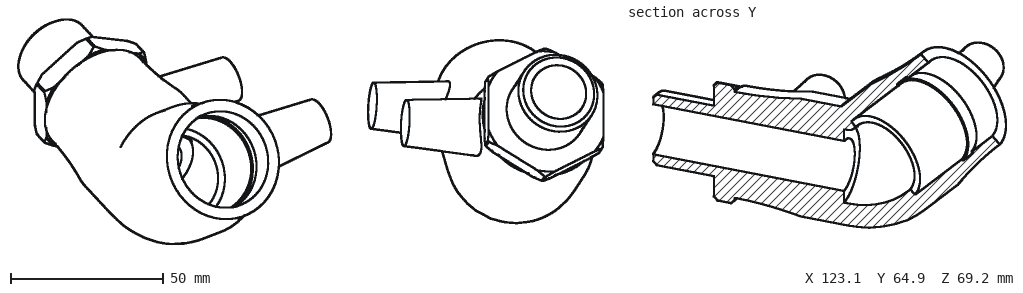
import math
import cadquery as cq

BEND_ANGLE = 45.0

SPIGOT_DIAMETER = 26.5
SPIGOT_LENGTH = 21.5
SPIGOT_CHAMFER = 1.4
ADAPTER_BORE = 18.5
NUT_WIDTH = 7.5
NUT_ACROSS_FLATS = 38.4
NUT_TURNED_DIAMETER = 44.0
NUT_CHAMFER = 1.4

BODY_RADIUS = 44.0 / 2
MOUTH_RADIUS = 19.8
TAPER_LENGTH = 23.4
LEG_LENGTH = 46.9
PIVOT_HEIGHT = 16.0
BEND_BORE = 27.2

SOCKET_DIAMETER = 32.0
SOCKET_DEPTH = 38.7
GROOVE_DIAMETER = 33.2
GROOVE_START = 10.5
GROOVE_WIDTH = 4.8

BOSS_SETBACK = 13.9
BOSS_TIP_RADIUS = 7.6
BOSS_TIP_Y = 42.9
BOSS_SLOPE = 0.075
BOSS_ROOT_RADIUS = BOSS_TIP_RADIUS + BOSS_SLOPE * BOSS_TIP_Y

NUT_END = SPIGOT_LENGTH + NUT_WIDTH
CORNER_X = NUT_END + LEG_LENGTH
BEND_TANGENT = PIVOT_HEIGHT * math.tan(math.radians(BEND_ANGLE / 2))
STRAIGHT_LENGTH = LEG_LENGTH - BEND_TANGENT
BEND_START_X = CORNER_X - BEND_TANGENT


def rod(diameter, start, length):
    """Cylinder on the X axis."""
    return cq.Workplane("YZ", origin=(start, 0, 0)).circle(diameter / 2).extrude(length)


def leg_outside():
    """Leg on the X axis with its mouth at X = 0, flaring along an arc to the full radius."""
    rise = BODY_RADIUS - MOUTH_RADIUS
    arc_radius = (TAPER_LENGTH**2 + rise**2) / (2 * rise)
    middle = TAPER_LENGTH / 2
    middle_radius = MOUTH_RADIUS + arc_radius - math.sqrt(arc_radius**2 - middle**2)
    return (
        cq.Workplane("XZ")
        .lineTo(0, MOUTH_RADIUS)
        .threePointArc((middle, middle_radius), (TAPER_LENGTH, BODY_RADIUS))
        .lineTo(STRAIGHT_LENGTH, BODY_RADIUS)
        .lineTo(STRAIGHT_LENGTH, 0)
        .close()
        .revolve(360, (0, 0, 0), (1, 0, 0))
    )


def place_on_second_leg(shape):
    """Move a shape whose mouth is at X = 0 and runs along +X onto the second leg."""
    corner_to_mouth = cq.Vector(CORNER_X + LEG_LENGTH, 0, 0)
    return (
        shape.rotate((0, 0, 0), (0, 0, 1), 180)
        .translate(corner_to_mouth)
        .rotate((CORNER_X, 0, 0), (CORNER_X, 1, 0), -BEND_ANGLE)
    )


def bend(radius):
    """Swing the part of a disc below the pivot through the bend angle."""
    start = cq.Workplane("YZ", origin=(BEND_START_X, 0, 0))
    if radius < PIVOT_HEIGHT:
        section = start.circle(radius)
    else:
        half_chord = math.sqrt(radius**2 - PIVOT_HEIGHT**2)
        section = (
            start.moveTo(-half_chord, PIVOT_HEIGHT)
            .threePointArc((0, -radius), (half_chord, PIVOT_HEIGHT))
            .close()
        )
    return section.revolve(BEND_ANGLE, (1.2, PIVOT_HEIGHT), (0, PIVOT_HEIGHT))


def nut():
    """Hexagon with corners up and down, turned off at both faces."""
    across_corners = NUT_ACROSS_FLATS / math.cos(math.pi / 6)
    hexagon = (
        cq.Workplane("YZ", origin=(SPIGOT_LENGTH, 0, 0))
        .transformed(rotate=(0, 0, 90))
        .polygon(6, across_corners)
        .extrude(NUT_WIDTH)
    )
    turned = rod(NUT_TURNED_DIAMETER, SPIGOT_LENGTH, NUT_WIDTH).edges().chamfer(NUT_CHAMFER)
    return hexagon.intersect(turned)


def boss(x, z):
    """Tapered boss from the leg axis out to its flat tip."""
    return cq.Workplane(
        cq.Solid.makeCone(
            BOSS_ROOT_RADIUS, BOSS_TIP_RADIUS, BOSS_TIP_Y, cq.Vector(x, 0, z), cq.Vector(0, 1, 0)
        )
    )


def outside():
    spigot = rod(SPIGOT_DIAMETER, 0, SPIGOT_LENGTH).faces("<X").chamfer(SPIGOT_CHAMFER)
    leg = leg_outside()
    body = leg.translate((NUT_END, 0, 0)).union(place_on_second_leg(leg)).union(bend(BODY_RADIUS))
    body = body.union(nut()).union(spigot)
    boss_reach = LEG_LENGTH - BOSS_SETBACK
    for angle in (180.0, BEND_ANGLE):
        direction = math.radians(angle)
        x = CORNER_X + boss_reach * math.cos(direction)
        z = boss_reach * math.sin(direction)
        body = body.union(boss(x, z))
    return body


def cavity():
    """Adapter bore, wider bend passage and grooved socket."""
    adapter_end = NUT_END + SOCKET_DEPTH
    adapter_bore = rod(ADAPTER_BORE, 0, adapter_end)
    first_stop = rod(BEND_BORE, adapter_end, BEND_START_X - adapter_end)
    socket = rod(SOCKET_DIAMETER, 0, SOCKET_DEPTH)
    groove = rod(GROOVE_DIAMETER, GROOVE_START, GROOVE_WIDTH)
    second_stop = rod(BEND_BORE, SOCKET_DEPTH, STRAIGHT_LENGTH - SOCKET_DEPTH)
    second_leg = place_on_second_leg(socket.union(groove).union(second_stop))
    return adapter_bore.union(first_stop).union(bend(BEND_BORE / 2)).union(second_leg)


result = outside().cut(cavity())